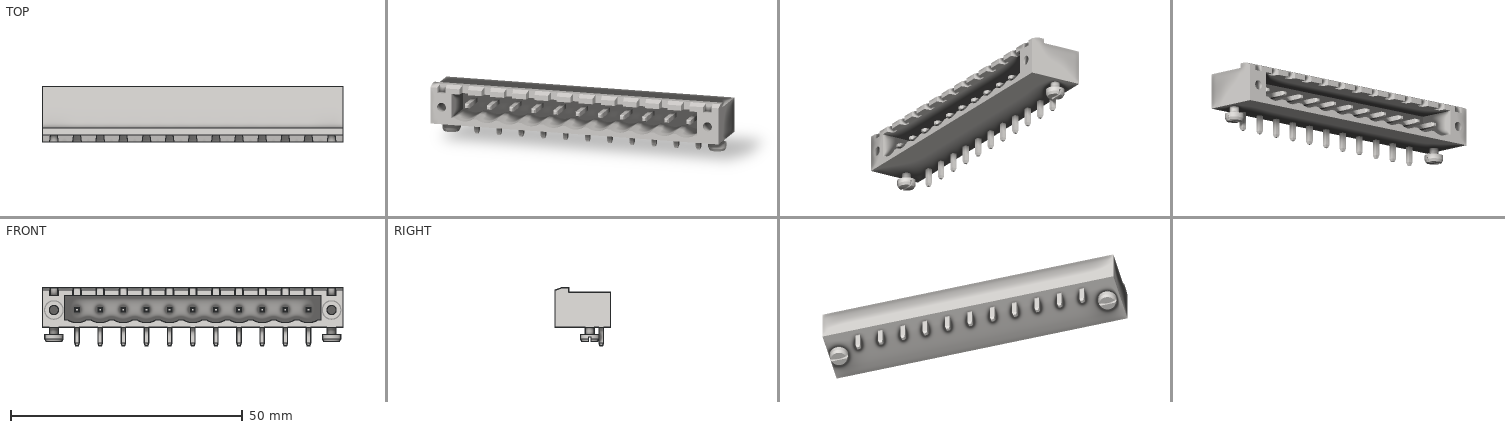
import cadquery as cq

pole_count = 11
pitch = 5.0
end_margin = 2.5
flange_offset = (pole_count + 1) / 2 * pitch
length = 2 * (flange_offset + end_margin)
depth = 12.0
rear_height = 7.6
lip_rise = 1.0
height = rear_height + lip_rise
lip_depth = 3.0
bevel_depth = 1.5
bevel_drop = 0.55

pocket_end_clearance = 0.2
pocket_length = pole_count * pitch + 2 * pocket_end_clearance
pocket_depth = 8.5
pocket_roof = 1.7
pocket_top = height - pocket_roof
crest_height = 1.6
scallop_width = 4.0
scallop_sag = 0.6

notch_front_width = 1.9
notch_rear_width = 1.5
notch_depth = bevel_depth
notch_floor = pocket_top

pin_size = 1.0
pin_tip_size = 0.6
pin_taper = 0.6
pin_height = 3.8
pin_front_gap = 2.0
pin_rear_gap = 2.0
pin_drop = 4.0

bushing_diameter = 4.0
bushing_hole_diameter = 2.0
bushing_length = 6.0
bushing_height = 3.75

screw_y = 7.5
shank_diameter = 2.0
shank_drop = 1.5
head_diameter = 4.0
head_height = 1.6
head_bevel_height = 0.6
head_bevel_inset = 0.3
slot_width = 0.5
slot_depth = 1.0

pin_positions = [(i - (pole_count - 1) / 2) * pitch for i in range(pole_count)]
flange_positions = [-flange_offset, flange_offset]


def make_housing():
    """Block with a raised, bevelled lip along the top of the mating face."""
    profile = [
        (0, 0),
        (depth, 0),
        (depth, rear_height),
        (lip_depth, rear_height),
        (lip_depth, height),
        (bevel_depth, height),
        (0, height - bevel_drop),
    ]
    return cq.Workplane("YZ").polyline(profile).close().extrude(length / 2, both=True)


def make_pocket():
    """Cavity open at the mating face, its floor dipping in an arc below each pin."""
    half_length = pocket_length / 2
    outline = cq.Workplane("XZ").moveTo(-half_length, pocket_top).lineTo(-half_length, crest_height)
    for x in pin_positions:
        outline = outline.lineTo(x - scallop_width / 2, crest_height)
        outline = outline.threePointArc(
            (x, crest_height - scallop_sag),
            (x + scallop_width / 2, crest_height),
        )
    outline = outline.lineTo(half_length, crest_height).lineTo(half_length, pocket_top).close()
    return outline.extrude(-pocket_depth)


def make_notch(x):
    """Coding notch in the lip, narrowing away from the mating face."""
    outline = [
        (x - notch_front_width / 2, 0),
        (x + notch_front_width / 2, 0),
        (x + notch_rear_width / 2, notch_depth),
        (x - notch_rear_width / 2, notch_depth),
    ]
    return (
        cq.Workplane("XY", origin=(0, 0, notch_floor))
        .polyline(outline).close()
        .extrude(height - notch_floor)
    )


def make_square_bar(start, direction, bar_length):
    """Square pin leg whose far end tapers to a smaller square."""
    plane = cq.Plane(origin=start, xDir=(1, 0, 0), normal=direction)
    shaft_length = bar_length - pin_taper
    shaft = cq.Workplane(plane).rect(pin_size, pin_size).extrude(shaft_length)
    tip = (
        cq.Workplane(plane).workplane(offset=shaft_length).rect(pin_size, pin_size)
        .workplane(offset=pin_taper).rect(pin_tip_size, pin_tip_size)
        .loft()
    )
    return shaft.union(tip)


def make_pin(x):
    """Contact leg reaching into the pocket and solder leg below the housing."""
    pin_y = depth - pin_rear_gap
    contact = make_square_bar((x, pin_y, pin_height), (0, -1, 0), pin_y - pin_front_gap)
    solder = make_square_bar((x, pin_y, pin_height), (0, 0, -1), pin_height + pin_drop)
    return contact.union(solder)


def make_flange_cylinder(x, diameter):
    """Cylinder on a bushing axis, running back from the mating face."""
    return (
        cq.Workplane("XZ", origin=(x, 0, bushing_height))
        .circle(diameter / 2)
        .extrude(-bushing_length)
    )


def make_bushing(x):
    """Sleeve that fills its seat in the flange around the blind hole."""
    sleeve = make_flange_cylinder(x, bushing_diameter)
    return sleeve.cut(make_flange_cylinder(x, bushing_hole_diameter))


def make_screw(x):
    """Slotted screw standing below the board face."""
    head_top = -shank_drop
    head_bottom = head_top - head_height
    shank_radius = shank_diameter / 2
    head_radius = head_diameter / 2
    profile = [
        (0, 0),
        (shank_radius, 0),
        (shank_radius, head_top),
        (head_radius, head_top),
        (head_radius, head_bottom + head_bevel_height),
        (head_radius - head_bevel_inset, head_bottom),
        (0, head_bottom),
    ]
    screw = cq.Workplane("XZ").polyline(profile).close().revolve(360, (0, 0, 0), (0, 1, 0))
    slot = (
        cq.Workplane("XY", origin=(0, 0, head_bottom))
        .rect(head_diameter, slot_width)
        .extrude(slot_depth)
    )
    return screw.cut(slot).translate((x, screw_y, 0))


result = make_housing().cut(make_pocket())
for notch_x in flange_positions + pin_positions:
    result = result.cut(make_notch(notch_x))
for flange_x in flange_positions:
    result = result.union(make_screw(flange_x))
for pin_x in pin_positions:
    result = result.union(make_pin(pin_x))
for flange_x in flange_positions:
    result = result.cut(make_flange_cylinder(flange_x, bushing_diameter), clean=False)
    result = result.union(make_bushing(flange_x), clean=False)